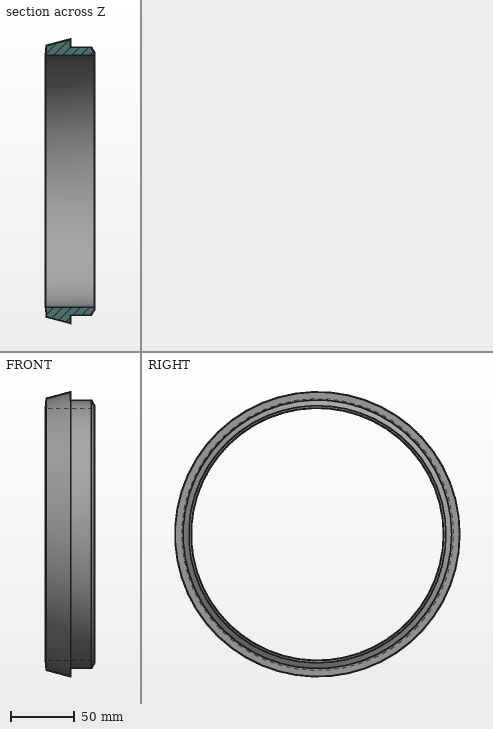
import cadquery as cq
import math

length = 39.0
shoulder_x = 20.0
front_face_setback = 0.65

bore_radius = 200.0 / 2
flange_radius = 226.0 / 2
spigot_radius = 213.0 / 2

front_land_width = 0.5

flange_taper_angle = 15.0
spigot_chamfer_height = 4.5
spigot_chamfer_angle = 30.0

flange_taper_length = shoulder_x - front_face_setback
flange_front_radius = flange_radius - flange_taper_length * math.tan(math.radians(flange_taper_angle))
spigot_chamfer_length = spigot_chamfer_height * math.tan(math.radians(spigot_chamfer_angle))


def ring_section():
    """Half section of the ring: X is the ring axis, Y is the radius."""
    return (
        cq.Workplane("XY")
        .moveTo(0, bore_radius)
        .lineTo(0, bore_radius + front_land_width)
        .lineTo(front_face_setback, flange_front_radius)
        .lineTo(shoulder_x, flange_radius)
        .lineTo(shoulder_x, spigot_radius)
        .lineTo(length - spigot_chamfer_length, spigot_radius)
        .lineTo(length, spigot_radius - spigot_chamfer_height)
        .lineTo(length, bore_radius)
        .close()
    )


def centred_ring():
    """Section revolved about X, with the ring centred on the origin."""
    ring = ring_section().revolve(360, (0, 0, 0), (1, 0, 0))
    return ring.translate((-length / 2, 0, 0))


result = centred_ring()